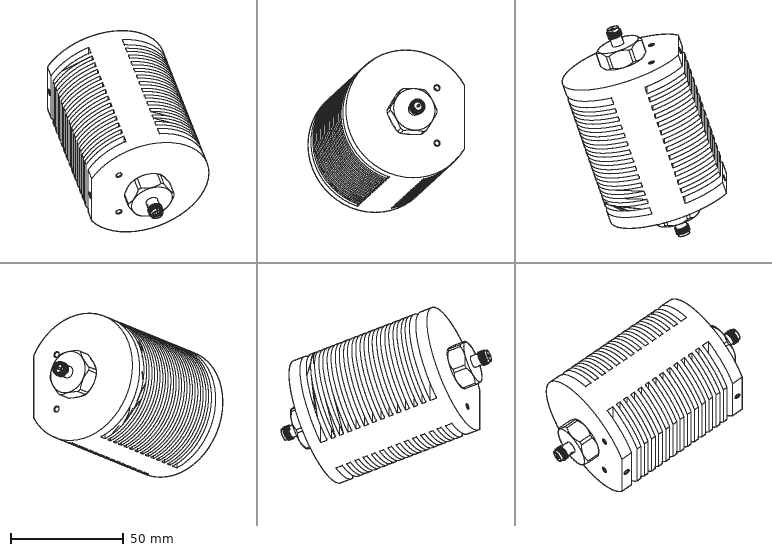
import math
import cadquery as cq

total_length = 101.4

body_length = 68.1
body_diameter = 58.4
body_depth = 54.5
body_radius = body_diameter / 2
flat_y = body_radius - body_depth

finned_length = 57.2
end_gap = 3.1
fin_thickness = 2.1
fin_count = 13
web_thickness = 15.6
fin_pitch = (finned_length - 2 * end_gap - fin_thickness) / (fin_count - 1)
slot_width = fin_pitch - fin_thickness

screw_hole_diameter = 2.2
countersink_diameter = 2.8
flat_hole_depth = 5.1
end_hole_depth = (body_length - finned_length) / 2
end_hole_offset = 12.7
flat_hole_inset = 2.7
drill_point_angle = 118
drill_point_depth = screw_hole_diameter / 2 / math.tan(math.radians(drill_point_angle / 2))

neck_diameter = 7.6
neck_length = 0.5
nut_length = 8.2
nut_across_flats = 19.2
nut_corner_diameter = 21.3
nut_face_diameter = 19.0
nut_chamfer = (nut_corner_diameter - nut_face_diameter) / 2

barrel_diameter = 5.4
bore_diameter = 4.6
bore_depth = 1.8
insulator_diameter = 3.9
insulator_recess = 1.5
contact_diameter = 1.0
thread_diameter = 6.5
thread_pitch = 0.7
thread_start = 1.0
thread_length = 3.0
thread_ridge_width = 0.63
thread_root_overlap = 0.1
side_hole_diameter = 1.2
side_hole_depth = 1.0
side_hole_inset = 5.9

body_end = body_length / 2
nut_inner = body_end + neck_length
nut_outer = nut_inner + nut_length
tip = total_length / 2


def rod(start, end, diameter):
    """Cylinder along X from start to end."""
    return cq.Workplane("YZ").workplane(offset=start).circle(diameter / 2).extrude(end - start)


def screw_hole(entry, direction, depth, point_depth=0):
    """Cutter for a countersunk hole running from the entry point along direction.

    A point_depth above zero adds a conical drill point beyond the full-diameter depth.
    """
    chamfer = (countersink_diameter - screw_hole_diameter) / 2
    radius = screw_hole_diameter / 2
    profile = (
        cq.Workplane("XZ")
        .moveTo(0, 0)
        .lineTo(countersink_diameter / 2, 0)
        .lineTo(radius, chamfer)
        .lineTo(radius, depth)
        .lineTo(0, depth + point_depth)
        .close()
    )
    cutter = profile.revolve(360, (0, 0, 0), (0, 1, 0)).val()
    return cutter.moved(cq.Plane(origin=entry, normal=direction).location)


def make_body():
    """Round bar with the mounting flat cut along its -Y side."""
    body = rod(-body_end, body_end, body_diameter)
    beyond_flat = cq.Workplane("XY").box(
        body_length, body_diameter, body_diameter, centered=(True, False, True)
    )
    return body.cut(beyond_flat.translate((0, flat_y - body_diameter, 0)))


def cut_slots(body):
    """Cut the gaps on both sides of the web, straight through the body in Z."""
    gap_centre = (finned_length - end_gap) / 2
    gaps = [(-gap_centre, end_gap), (gap_centre, end_gap)]
    for i in range(fin_count - 1):
        gaps.append(((i - (fin_count - 2) / 2) * fin_pitch, slot_width))
    for x, width in gaps:
        for side in (-1, 1):
            y = side * (web_thickness + body_diameter) / 2
            gap = cq.Workplane("XY").box(width, body_diameter, body_diameter)
            body = body.cut(gap.translate((x, y, 0)))
    return body


def cut_screw_holes(body):
    """At each end: one hole in the mounting flat and a pair in the end face."""
    for end in (-1, 1):
        flat_hole_x = end * (body_end - flat_hole_inset)
        flat_hole = screw_hole((flat_hole_x, flat_y, 0), (0, 1, 0), flat_hole_depth, drill_point_depth)
        body = body.cut(cq.Workplane(flat_hole))
        for z in (-end_hole_offset, end_hole_offset):
            entry = (end * body_end, -end_hole_offset, z)
            body = body.cut(cq.Workplane(screw_hole(entry, (-end, 0, 0), end_hole_depth)))
    return body


def make_nut():
    """Hexagon with two flats facing up and down, its corners turned and chamfered at both ends."""
    across_corners = nut_across_flats / math.cos(math.radians(30))
    hexagon = (
        cq.Workplane("YZ")
        .workplane(offset=nut_inner)
        .polygon(6, across_corners)
        .extrude(nut_length)
    )
    envelope = rod(nut_inner, nut_outer, nut_corner_diameter).faces("<X or >X").chamfer(nut_chamfer)
    return hexagon.intersect(envelope)


def make_thread():
    """Helical V ridge around the barrel."""
    root_radius = barrel_diameter / 2 - thread_root_overlap
    half_width = thread_ridge_width / 2
    path = cq.Wire.makeHelix(thread_pitch, thread_length, root_radius)
    ridge = (
        cq.Workplane("XZ")
        .moveTo(root_radius, -half_width)
        .lineTo(thread_diameter / 2, 0)
        .lineTo(root_radius, half_width)
        .close()
        .sweep(cq.Workplane(path), isFrenet=True)
    )
    along_x = ridge.rotate((0, 0, 0), (0, 1, 0), -90)
    return along_x.translate((tip - thread_start, 0, 0))


def make_connector():
    """Neck, nut and threaded barrel at the +X end; a contact pin stands on an insulator in its bore."""
    neck = rod(body_end, nut_inner, neck_diameter)
    barrel = rod(nut_outer, tip, barrel_diameter).union(make_thread())
    barrel = barrel.cut(rod(tip - bore_depth, tip, bore_diameter))
    insulator = rod(tip - bore_depth, tip - insulator_recess, insulator_diameter)
    contact = rod(tip - bore_depth, tip, contact_diameter)
    side_hole = (
        cq.Workplane("XZ", origin=(tip - side_hole_inset, -barrel_diameter / 2, 0))
        .circle(side_hole_diameter / 2)
        .extrude(-side_hole_depth)
    )
    barrel = barrel.cut(side_hole).union(insulator).union(contact)
    return neck.union(make_nut()).union(barrel)


connector = make_connector()
opposite_connector = connector.rotate((0, 0, 0), (0, 1, 0), 180)

result = cut_screw_holes(cut_slots(make_body())).union(connector).union(opposite_connector)